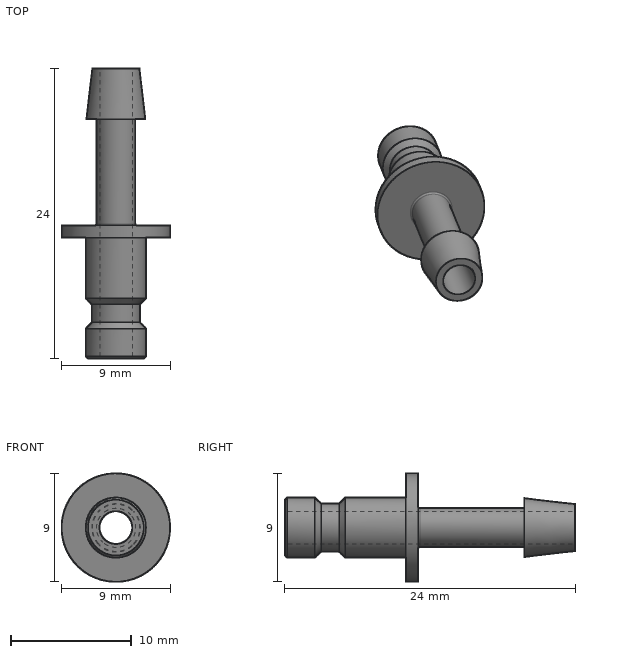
import cadquery as cq

total_length = 24.0
flange_front = 10.0
flange_thickness = 1.0
barb_length = 4.2
groove_start = 2.5
groove_end = 5.0
groove_taper = 0.5
plug_chamfer = 0.2
stem_root_fillet = 0.15

flange_diameter = 9.0
plug_diameter = 5.0
groove_diameter = 4.0
stem_diameter = 3.25
barb_base_diameter = 4.9
barb_tip_diameter = 3.9
bore_diameter = 2.7

plug_radius = plug_diameter / 2
groove_radius = groove_diameter / 2
flange_radius = flange_diameter / 2
stem_radius = stem_diameter / 2

flange_back = flange_front + flange_thickness
barb_start = total_length - barb_length

plug_and_flange_outline = [
    (0, 0),
    (plug_radius - plug_chamfer, 0),
    (plug_radius, plug_chamfer),
    (plug_radius, groove_start),
    (groove_radius, groove_start + groove_taper),
    (groove_radius, groove_end - groove_taper),
    (plug_radius, groove_end),
    (plug_radius, flange_front),
    (flange_radius, flange_front),
    (flange_radius, flange_back),
    (stem_radius + stem_root_fillet, flange_back),
]
stem_root_end = (stem_radius, flange_back + stem_root_fillet)
barb_outline = [
    (stem_radius, barb_start),
    (barb_base_diameter / 2, barb_start),
    (barb_tip_diameter / 2, total_length),
    (0, total_length),
]
profile = (
    cq.Workplane("XY")
    .polyline(plug_and_flange_outline)
    .radiusArc(stem_root_end, stem_root_fillet)
    .polyline(barb_outline, includeCurrent=True)
    .close()
)
body = profile.revolve(360, (0, 0, 0), (0, 1, 0))

bore = cq.Workplane("XZ").circle(bore_diameter / 2).extrude(-total_length)

result = body.cut(bore)